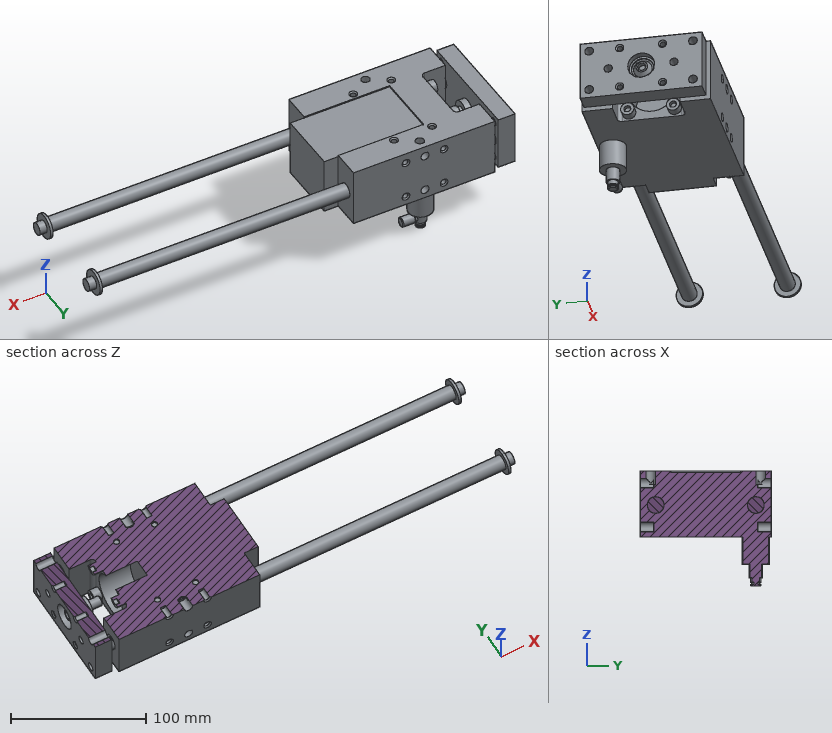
import cadquery as cq


OVERLAP = 1.8

total_length = 359.0
total_height = 85.0

block_start = 18.5
block_end = 138.5
block_width = 97.0
block_top = 25.0
block_height = 49.0
block_bottom = block_top - block_height
side_y = block_width / 2

notch_width = 51.0
notch_back = 39.5
notch_corner_radius = 3.2
screw_offset = 17.2
screw_head_diameter = 10.0
screw_head_height = 7.0
screw_socket_diameter = 5.0
screw_socket_depth = 3.2
spindle_bore_diameter = 35.2

drive_start = 66.0
drive_end = 150.5
drive_width = 51.0
drive_top = 24.0

hole_pitch = 16.0
mount_x = 78.0
dowel_diameter = 7.0
thread_diameter = 4.3
thread_mouth_diameter = 6.5
mount_depth = 10.0
top_dowel_y = 40.5
top_thread_y = 30.5

connector_x = 75.5
connector_barrel_diameter = 20.0
connector_barrel_length = 20.0
connector_stem_diameter = 10.0
connector_stem_length = 10.0
connector_tip_diameter = 8.0
connector_neck_diameter = 6.0
connector_ring_height = 3.2
connector_neck_height = 1.5
connector_tip_chamfer = 0.7
elbow_z = -50.3
elbow_neck_diameter = 6.5
elbow_collar_start = 81.5
elbow_collar_end = 92.3
elbow_collar_diameter = 8.0
elbow_collar_chamfer = 0.7

peg_diameter = 5.0
peg_length = 3.2
peg_z = -20.5

plate_thickness = 14.5
plate_width = 92.0
plate_height = 45.5
plate_corner_y = 39.0
plate_corner_diameter = 6.5
plate_dowel_y = 24.8
plate_dowel_diameter = 6.0
plate_blind_depth = 10.0
plate_thread_diameter = 4.0
plate_thread_mouth_diameter = 6.0

recess_diameter = 20.0
recess_depth = 5.5
inner_recess_diameter = 17.0
inner_recess_depth = 6.5
button_diameter = 14.0
button_top_diameter = 8.5
button_height = 4.0
button_socket_diameter = 6.0
flange_diameter = 17.0
flange_end = 19.7
stud_diameter = 8.0
stud_end = 31.0
stud_chamfer = 1.0

rod_y = 37.0
rod_diameter = 12.0
washer_start = 350.7
washer_thickness = 2.0
washer_diameter = 20.0
rod_tip_diameter = 10.0


def box(x0, x1, width, z0, z1):
    """Block centred on Y = 0."""
    return cq.Workplane("XY").box(x1 - x0, width, z1 - z0, centered=False).translate((x0, -width / 2, z0))


def rod_x(x0, x1, diameter, y=0.0, z=0.0):
    """Cylinder along X from x0 to x1."""
    return cq.Workplane("YZ", origin=(x0, y, z)).circle(diameter / 2).extrude(x1 - x0)


def rod_z(z0, z1, diameter, x, y):
    """Cylinder along Z from z0 to z1."""
    return cq.Workplane("XY", origin=(x, y, z0)).circle(diameter / 2).extrude(z1 - z0)


def drill(point, direction, diameter, depth, mouth_diameter=None):
    """Round cutter from a surface point, with an optional 45-degree countersunk mouth."""
    start = cq.Vector(*point)
    inward = cq.Vector(*direction)
    cutter = cq.Solid.makeCylinder(diameter / 2, depth, start, inward)
    if mouth_diameter:
        sink = (mouth_diameter - diameter) / 2
        cutter = cutter.fuse(cq.Solid.makeCone(mouth_diameter / 2, diameter / 2, sink, start, inward))
    return cq.Workplane(cutter)


def cut_notch(block):
    """Cut the open front notch, rounded in its back corners."""
    notch = box(block_start - OVERLAP, notch_back, notch_width, block_bottom, block_top)
    return block.cut(notch.edges("|Z and >X").fillet(notch_corner_radius))


def add_drive(block):
    """Sink the top of the housing over the drive block, then fuse the drive block in."""
    recess = box(drive_start, block_end, drive_width, drive_top, block_top)
    drive = box(drive_start, drive_end, drive_width, block_bottom, drive_top)
    return block.cut(recess).union(drive)


def add_notch_screws(block):
    """Four socket screw heads standing on the notch's back wall."""
    head_front = notch_back - screw_head_height
    for y in (-screw_offset, screw_offset):
        for z in (-screw_offset, screw_offset):
            block = block.union(rod_x(head_front, notch_back + OVERLAP, screw_head_diameter, y, z))
            block = block.cut(rod_x(head_front, head_front + screw_socket_depth, screw_socket_diameter, y, z))
    return block


def drill_mounting_holes(block):
    """Rows of thread, dowel, thread on both sides, and the same kinds of holes in the top."""
    thread_xs = (mount_x - hole_pitch, mount_x + hole_pitch)
    down = (0, 0, -1)
    for side in (-1, 1):
        inward = (0, -side, 0)
        for z in (-hole_pitch, hole_pitch):
            block = block.cut(drill((mount_x, side * side_y, z), inward, dowel_diameter, mount_depth))
            for x in thread_xs:
                mouth = (x, side * side_y, z)
                block = block.cut(drill(mouth, inward, thread_diameter, mount_depth, thread_mouth_diameter))
        block = block.cut(drill((mount_x, side * top_dowel_y, block_top), down, dowel_diameter, mount_depth))
        for x in thread_xs:
            mouth = (x, side * top_thread_y, block_top)
            block = block.cut(drill(mouth, down, thread_diameter, mount_depth, thread_mouth_diameter))
    return block


def make_connector():
    """Barrel, stem and grooved tip pointing down, with a side elbow toward +X."""
    barrel_end = block_bottom - connector_barrel_length
    stem_end = barrel_end - connector_stem_length
    ring_end = stem_end - connector_ring_height
    neck_end = ring_end - connector_neck_height
    tip_end = block_top - total_height
    steps = [
        (block_bottom + OVERLAP, barrel_end, connector_barrel_diameter),
        (barrel_end, stem_end, connector_stem_diameter),
        (stem_end, ring_end, connector_tip_diameter),
        (ring_end, neck_end, connector_neck_diameter),
        (neck_end, tip_end, connector_tip_diameter),
    ]
    connector = rod_x(connector_x, elbow_collar_start, elbow_neck_diameter, rod_y, elbow_z)
    for upper, lower, diameter in steps:
        connector = connector.union(rod_z(lower, upper, diameter, connector_x, rod_y))
    connector = connector.faces("<Z").chamfer(connector_tip_chamfer)
    collar = rod_x(elbow_collar_start, elbow_collar_end, elbow_collar_diameter, rod_y, elbow_z)
    return connector.union(collar.faces(">X").chamfer(elbow_collar_chamfer))


def make_housing():
    block = box(block_start, block_end, block_width, block_bottom, block_top)
    block = add_drive(cut_notch(block))
    block = block.cut(rod_x(notch_back, drive_start, spindle_bore_diameter))
    block = add_notch_screws(block)
    block = drill_mounting_holes(block)
    block = block.union(make_connector())
    block = block.union(rod_x(block_end - OVERLAP, block_end + peg_length, peg_diameter, -rod_y, peg_z))
    for y in (-rod_y, rod_y):
        block = block.cut(rod_x(block_start, total_length, rod_diameter, y))
    return block


def make_plate():
    """Plate with through holes at the corners, and blind dowel and threaded holes between them."""
    plate = box(0, plate_thickness, plate_width, -plate_height / 2, plate_height / 2)
    inward = (1, 0, 0)
    for side in (-1, 1):
        dowel = (0, side * plate_dowel_y, 0)
        plate = plate.cut(drill(dowel, inward, plate_dowel_diameter, plate_blind_depth))
        for z in (-hole_pitch, hole_pitch):
            corner = (0, side * plate_corner_y, z)
            plate = plate.cut(drill(corner, inward, plate_corner_diameter, plate_thickness))
            thread = (0, side * hole_pitch, z)
            plate = plate.cut(drill(
                thread, inward, plate_thread_diameter, plate_blind_depth, plate_thread_mouth_diameter))
    return plate


def add_coupling_screw(plate):
    """Button-head screw in a stepped recess, with its flange and stud behind the plate."""
    plate = plate.cut(rod_x(0, recess_depth, recess_diameter))
    plate = plate.cut(rod_x(0, inner_recess_depth, inner_recess_diameter))
    head_front = inner_recess_depth - button_height
    button = cq.Workplane(cq.Solid.makeCone(
        button_top_diameter / 2, button_diameter / 2, button_height,
        cq.Vector(head_front, 0, 0), cq.Vector(1, 0, 0)))
    stud = rod_x(flange_end, stud_end, stud_diameter).faces(">X").chamfer(stud_chamfer)
    plate = plate.union(button).union(rod_x(plate_thickness, flange_end, flange_diameter)).union(stud)
    return plate.cut(rod_x(head_front, inner_recess_depth, button_socket_diameter))


def make_guide_rod(y):
    """Rod from the plate to a washer and a thinner tip."""
    washer_end = washer_start + washer_thickness
    shaft = rod_x(plate_thickness - OVERLAP, washer_end, rod_diameter, y)
    washer = rod_x(washer_start, washer_end, washer_diameter, y)
    tip = rod_x(washer_end, total_length, rod_tip_diameter, y)
    return shaft.union(washer).union(tip)


def make_carriage():
    carriage = add_coupling_screw(make_plate())
    for y in (-rod_y, rod_y):
        carriage = carriage.union(make_guide_rod(y))
    return carriage


housing = make_housing()
carriage = make_carriage()

result = cq.Compound.makeCompound([housing.val(), carriage.val()])